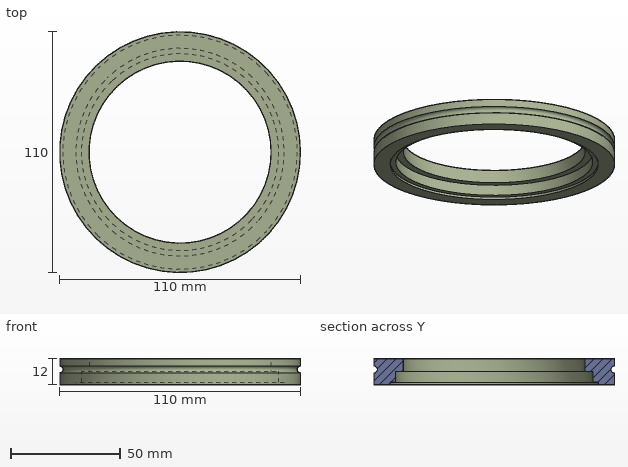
import cadquery as cq

OUTER_DIAMETER = 110.0
BORE_DIAMETER = 83.0
HEIGHT = 12.0

RECESS_DIAMETER = 90.0
LIP_THICKNESS = 6.0
RECESS_DEPTH = HEIGHT - LIP_THICKNESS

STEP_DIAMETER = 95.0
STEP_DEPTH = 1.15

GROOVE_RADIUS = 1.5
GROOVE_CENTER_Z = 7.0


def make_ring():
    """Plain flat ring standing on the XY plane."""
    return (
        cq.Workplane("XY")
        .circle(OUTER_DIAMETER / 2)
        .circle(BORE_DIAMETER / 2)
        .extrude(HEIGHT)
    )


def make_bottom_disc(diameter, depth):
    """Round cutter reaching up from the bottom face to the given depth."""
    return cq.Workplane("XY").circle(diameter / 2).extrude(depth)


def make_groove():
    """Torus centred on the outer wall; its inner half forms the groove."""
    return (
        cq.Workplane("XZ")
        .center(OUTER_DIAMETER / 2, GROOVE_CENTER_Z)
        .circle(GROOVE_RADIUS)
        .revolve(360, (-OUTER_DIAMETER / 2, 0), (-OUTER_DIAMETER / 2, 1))
    )


result = (
    make_ring()
    .cut(make_bottom_disc(RECESS_DIAMETER, RECESS_DEPTH))
    .cut(make_bottom_disc(STEP_DIAMETER, STEP_DEPTH))
    .cut(make_groove())
)